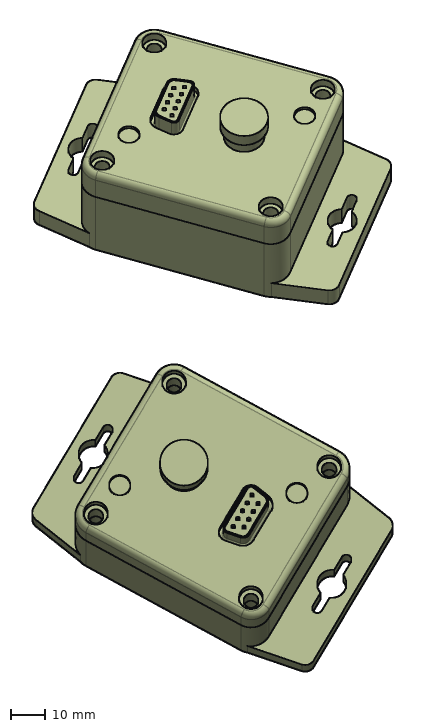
import cadquery as cq
import math

box_length = 64.0
box_width = 58.0
box_height = 35.0
corner_radius = 6.0
lid_height = 10.0
base_height = box_height - lid_height
lid_edge_radius = 2.0

flange_span = 94.0
flange_height = 6.6
flange_taper = 10.0
flange_corner_radius = 3.0

keyhole_spacing = 80.0
keyhole_diameter = 8.5
keyhole_slot_length = 20.0
keyhole_slot_width = 3.0

screw_spacing_x = box_length - 2 * corner_radius
screw_spacing_y = box_width - 2 * corner_radius
screw_hole_diameter = 4.3
screw_head_diameter = 7.0
screw_head_depth = 3.0

lamp_centers = [(24.2, 12.1), (-21.8, -11.4)]
lamp_diameter = 6.2
lamp_depth = 1.0

connector_center = (-12.75, 2.2)
connector_width = 7.9
connector_short_side = 14.2
connector_taper = 10.0
connector_short_radius = 2.3
connector_long_radius = 1.6
connector_rise = 3.9
connector_foot_radius = 0.4
connector_rim = 0.5
connector_face_depth = 0.1
pocket_clearance = 1.25
pocket_depth = 2.0
connector_flange_thickness = 1.0
flange_top = box_height - pocket_depth
pocket_floor = flange_top - connector_flange_thickness
connector_top = box_height + connector_rise

socket_pitch = 2.77
socket_row_spacing = 2.84
socket_long_row = 5
socket_short_row = 4
socket_diameter = 1.1
socket_depth = 2.0

button_center = (10.0, -0.75)
button_neck_diameter = 12.0
button_head_diameter = 14.0
button_rise = 8.8
button_head_height = 4.3
button_neck_height = button_rise - button_head_height


def rounded_block(bottom, height):
    """Block with the enclosure footprint and rounded vertical corners."""
    block = cq.Workplane("XY").workplane(offset=bottom).rect(box_length, box_width).extrude(height)
    return block.edges("|Z").fillet(corner_radius)


def screw_cylinders(diameter, bottom, height):
    """Four cylinders on the screw positions."""
    plane = cq.Workplane("XY").workplane(offset=bottom)
    return plane.rect(screw_spacing_x, screw_spacing_y, forConstruction=True).vertices().circle(
        diameter / 2).extrude(height)


def flange_plate():
    """Plate whose sides taper from the corner arcs of the box to both ends."""
    taper_start = screw_spacing_x / 2
    end_x = flange_span / 2
    side_y = box_width / 2
    end_y = side_y - (end_x - taper_start) * math.tan(math.radians(flange_taper))
    outline = [
        (taper_start, side_y), (end_x, end_y), (end_x, -end_y), (taper_start, -side_y),
        (-taper_start, -side_y), (-end_x, -end_y), (-end_x, end_y), (-taper_start, side_y),
    ]
    plate = cq.Workplane("XY").polyline(outline).close().extrude(flange_height)
    return plate.edges("|Z and (<X or >X)").fillet(flange_corner_radius)


def keyhole_cutters():
    """Round hole with a slot running both ways along Y, in each flange."""
    centers = [(-keyhole_spacing / 2, 0), (keyhole_spacing / 2, 0)]
    holes = cq.Workplane("XY").pushPoints(centers).circle(keyhole_diameter / 2).extrude(flange_height)
    slots = cq.Workplane("XY").pushPoints(centers).slot2D(
        keyhole_slot_length, keyhole_slot_width, 90).extrude(flange_height)
    return holes.union(slots)


def connector_prism(offset, bottom, height):
    """D-shaped prism, grown outwards by offset; the long side faces +X."""
    half_width = connector_width / 2
    half_short = connector_short_side / 2
    half_long = half_short + connector_width * math.tan(math.radians(connector_taper))
    outline = [
        (-half_width, -half_short), (half_width, -half_long),
        (half_width, half_long), (-half_width, half_short),
    ]
    prism = cq.Workplane("XY").polyline(outline).close().extrude(height)
    prism = prism.edges("|Z and <X").fillet(connector_short_radius)
    prism = prism.edges("|Z and >X").fillet(connector_long_radius)
    if offset:
        prism = prism.faces("<Z").wires().toPending().offset2D(offset).extrude(height, combine=False)
    x, y = connector_center
    return prism.translate((x, y, bottom))


def make_base():
    """Lower box with the tapered flanges and their keyholes."""
    base = rounded_block(0, base_height).union(flange_plate())
    base = base.cut(keyhole_cutters())
    return base.cut(screw_cylinders(screw_hole_diameter, 0, base_height))


def make_lid():
    """Upper box with counterbored screw holes, lamp recesses and the connector pocket."""
    lid = rounded_block(base_height, lid_height).faces(">Z").edges().fillet(lid_edge_radius)
    lid = lid.cut(screw_cylinders(screw_hole_diameter, base_height, lid_height))
    lid = lid.cut(screw_cylinders(screw_head_diameter, box_height - screw_head_depth, screw_head_depth))
    lamps = cq.Workplane("XY").workplane(offset=box_height - lamp_depth).pushPoints(
        lamp_centers).circle(lamp_diameter / 2).extrude(lamp_depth)
    lid = lid.cut(lamps)
    return lid.cut(connector_prism(pocket_clearance, pocket_floor, box_height - pocket_floor))


def socket_row(count, x):
    """Centres of one socket row, centred on the connector along Y."""
    center_x, center_y = connector_center
    first = -(count - 1) / 2
    return [(center_x + x, center_y + (first + i) * socket_pitch) for i in range(count)]


def make_connector():
    """Shell rising from a flange that fills the bottom of the lid pocket."""
    flange = connector_prism(pocket_clearance, pocket_floor, connector_flange_thickness)
    shell = connector_prism(0, flange_top, connector_top - flange_top)
    connector = flange.union(shell)
    flange_face = connector.faces(">Z[-2]").val()
    foot_edges = flange_face.innerWires()[0].Edges()
    connector = connector.newObject(foot_edges).fillet(connector_foot_radius)
    face_bottom = connector_top - connector_face_depth
    connector = connector.cut(connector_prism(-connector_rim, face_bottom, connector_face_depth))
    sockets = socket_row(socket_long_row, socket_row_spacing / 2)
    sockets += socket_row(socket_short_row, -socket_row_spacing / 2)
    holes = cq.Workplane("XY").workplane(offset=face_bottom - socket_depth).pushPoints(
        sockets).circle(socket_diameter / 2).extrude(socket_depth)
    return connector.cut(holes)


def make_button():
    """Round neck standing on the lid with a wider head."""
    neck = cq.Workplane("XY").workplane(offset=box_height).center(*button_center).circle(
        button_neck_diameter / 2).extrude(button_neck_height)
    return neck.faces(">Z").workplane().circle(button_head_diameter / 2).extrude(button_head_height)


base = make_base()
lid = make_lid()
connector = make_connector()
button = make_button()

result = cq.Compound.makeCompound([base.val(), lid.val(), connector.val(), button.val()])